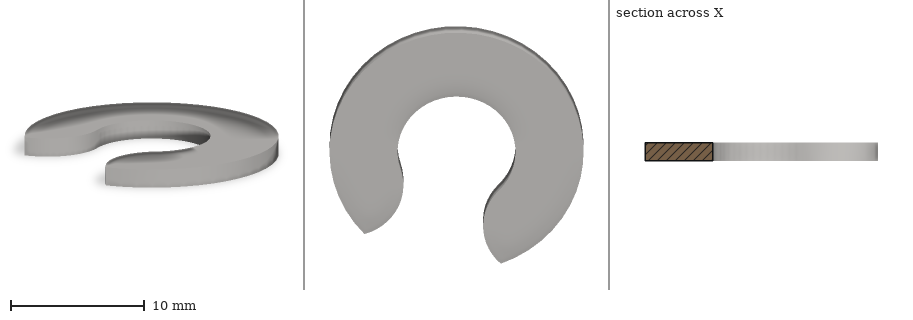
import cadquery as cq
import math

outer_radius = 9.5
bore_radius = 4.4
lobe_radius = 4.03
mouth_width = 6.33
thickness = 1.4

lobe_x = mouth_width / 2 + lobe_radius
lobe_distance = bore_radius + lobe_radius
lobe_y = -math.sqrt(lobe_distance**2 - lobe_x**2)
lobe_angle = math.atan2(lobe_y, lobe_x)


def polar(radius, angle):
    """Point at a radius and angle about the ring centre."""
    return (radius * math.cos(angle), radius * math.sin(angle))


def mirrored(point):
    """Matching point on the -X side of the ring."""
    return (-point[0], point[1])


tip_offset = math.acos(
    (outer_radius**2 + lobe_distance**2 - lobe_radius**2)
    / (2 * outer_radius * lobe_distance)
)
tip = polar(outer_radius, lobe_angle - tip_offset)
bore_end = polar(bore_radius, lobe_angle)
lobe_inner = (mouth_width / 2, lobe_y)

result = (
    cq.Workplane("XY")
    .moveTo(*tip)
    .threePointArc((0, outer_radius), mirrored(tip))
    .threePointArc(mirrored(lobe_inner), mirrored(bore_end))
    .threePointArc((0, bore_radius), bore_end)
    .threePointArc(lobe_inner, tip)
    .close()
    .extrude(thickness)
)